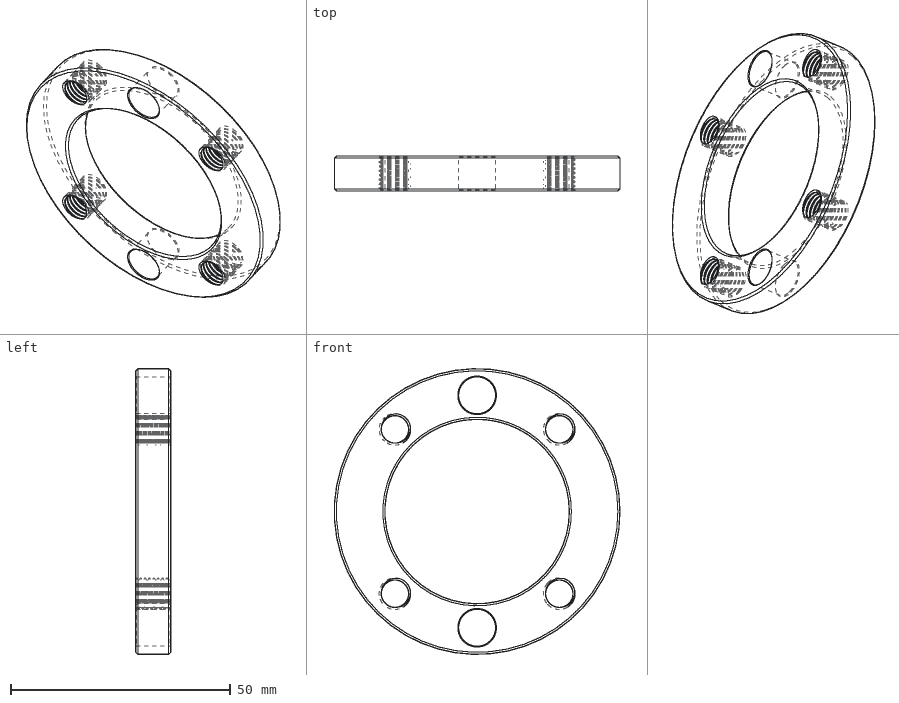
import cadquery as cq
import math

OUTER_DIAMETER = 65.2
BORE_DIAMETER = 42.0
THICKNESS = 8.0
RIM_CHAMFER = 0.5
FRONT_Y = -THICKNESS / 2

BOLT_CIRCLE_RADIUS = 26.5
PLAIN_HOLE_DIAMETER = 8.4
PLAIN_HOLE_CHAMFER = 0.2
PLAIN_HOLE_ANGLES = (90, 270)
TAPPED_HOLE_ANGLES = (45, 135, 225, 315)

THREAD_MAJOR_RADIUS = 3.6
THREAD_MINOR_RADIUS = 3.1
THREAD_PITCH = 1.0
THREAD_CREST_WIDTH = THREAD_PITCH / 4
THREAD_ROOT_WIDTH = THREAD_PITCH / 8
THREAD_START_ANGLE = 45.0
MINOR_HALF_WIDTH = (THREAD_PITCH - THREAD_CREST_WIDTH) / 2
ROOT_HALF_WIDTH = THREAD_ROOT_WIDTH / 2
FLANK_SLOPE = (MINOR_HALF_WIDTH - ROOT_HALF_WIDTH) / (THREAD_MAJOR_RADIUS - THREAD_MINOR_RADIUS)

GROOVE_OVERLAP = 0.05
BLANK_MARGIN = 1.0


def along_y(solid):
    """Turn a solid built from Z = 0 upward so that it runs from the front face toward +Y."""
    return solid.rotate((0, 0, 0), (1, 0, 0), -90).translate((0, FRONT_Y, 0))


def on_bolt_circle(solid, angle):
    """Move a cutter from the ring axis to its place on the bolt circle."""
    x = BOLT_CIRCLE_RADIUS * math.cos(math.radians(angle))
    z = BOLT_CIRCLE_RADIUS * math.sin(math.radians(angle))
    return solid.translate((x, 0, z))


def make_ring():
    """Flat ring with all four circular edges chamfered."""
    ring = cq.Workplane("XY").circle(OUTER_DIAMETER / 2).circle(BORE_DIAMETER / 2).extrude(THICKNESS)
    return along_y(ring.edges("%CIRCLE").chamfer(RIM_CHAMFER))


def make_plain_hole():
    """Through hole cutter, widened by a small chamfer at both faces."""
    radius = PLAIN_HOLE_DIAMETER / 2
    mouth_radius = radius + PLAIN_HOLE_CHAMFER
    half_section = cq.Workplane("XZ").polyline([
        (0, 0),
        (mouth_radius, 0),
        (radius, PLAIN_HOLE_CHAMFER),
        (radius, THICKNESS - PLAIN_HOLE_CHAMFER),
        (mouth_radius, THICKNESS),
        (0, THICKNESS),
    ]).close()
    return along_y(half_section.revolve(360, (0, 0, 0), (0, 1, 0)))


def make_thread_groove():
    """Right-hand helical groove that runs out one pitch beyond both faces."""
    inner_radius = THREAD_MINOR_RADIUS - GROOVE_OVERLAP
    inner_half_width = MINOR_HALF_WIDTH + GROOVE_OVERLAP * FLANK_SLOPE
    helix = cq.Wire.makeHelix(THREAD_PITCH, THICKNESS + 2 * THREAD_PITCH, THREAD_MAJOR_RADIUS)
    profile = cq.Workplane("XZ").polyline([
        (inner_radius, -inner_half_width),
        (THREAD_MAJOR_RADIUS, -ROOT_HALF_WIDTH),
        (THREAD_MAJOR_RADIUS, ROOT_HALF_WIDTH),
        (inner_radius, inner_half_width),
    ]).close()
    groove = profile.sweep(cq.Workplane(obj=helix), isFrenet=True)
    groove = groove.rotate((0, 0, 0), (0, 0, 1), -THREAD_START_ANGLE)
    return along_y(groove.translate((0, 0, -THREAD_PITCH)))


def make_tapped_hole():
    """Through hole cutter at the minor radius, with the groove trimmed to the two faces."""
    drill = along_y(cq.Workplane("XY").circle(THREAD_MINOR_RADIUS).extrude(THICKNESS))
    blank = along_y(cq.Workplane("XY").circle(THREAD_MAJOR_RADIUS + BLANK_MARGIN).extrude(THICKNESS))
    return drill.union(make_thread_groove().intersect(blank))


result = make_ring()

plain_hole = make_plain_hole()
for hole_angle in PLAIN_HOLE_ANGLES:
    result = result.cut(on_bolt_circle(plain_hole, hole_angle))

tapped_hole = make_tapped_hole()
for hole_angle in TAPPED_HOLE_ANGLES:
    result = result.cut(on_bolt_circle(tapped_hole, hole_angle))